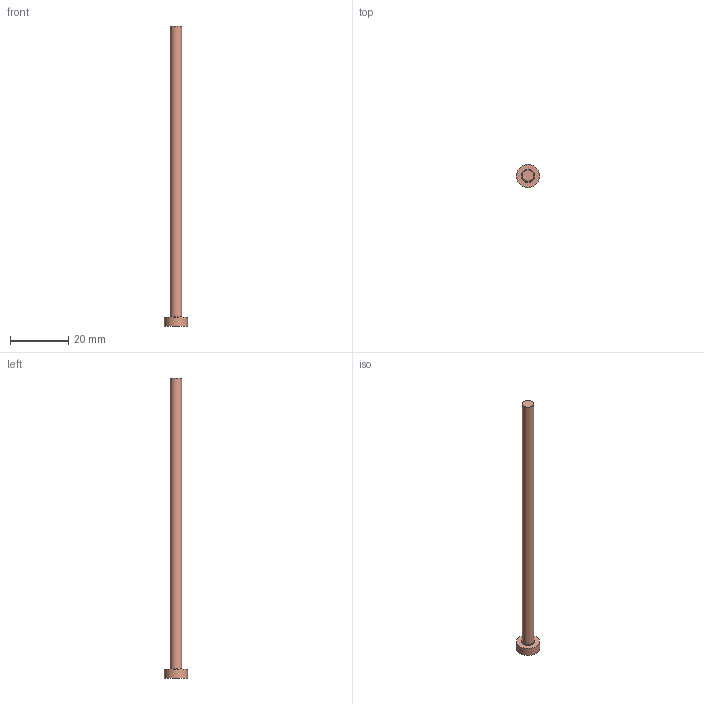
import cadquery as cq

total_length = 103.0
head_diameter = 8.0
head_height = 3.0
shank_diameter = 4.0
neck_fillet_radius = 0.2

head_radius = head_diameter / 2
shank_radius = shank_diameter / 2
shank_length = total_length - head_height


def make_head():
    return cq.Workplane("XY").circle(head_radius).extrude(head_height)


def add_shank(head):
    return head.faces(">Z").workplane().circle(shank_radius).extrude(shank_length)


def fillet_neck(pin):
    """Round the inside corner where the shank meets the head."""
    neck_edge = pin.edges("%CIRCLE").edges(cq.selectors.RadiusNthSelector(0)).edges("<Z")
    return neck_edge.fillet(neck_fillet_radius)


result = fillet_neck(add_shank(make_head()))